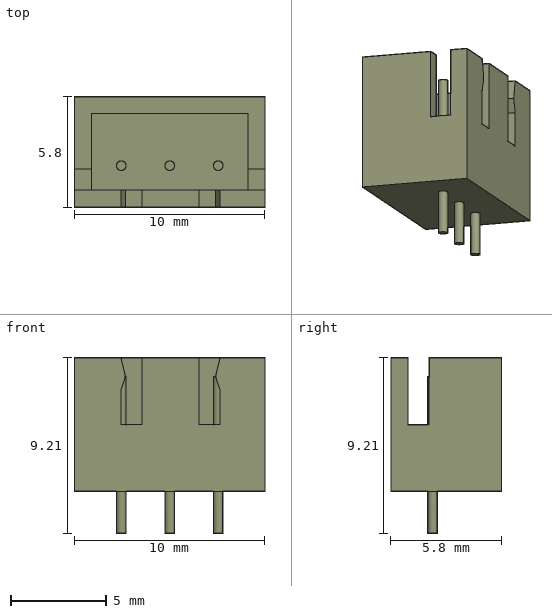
import cadquery as cq


length = 10.0
width = 5.8
height = 7.01
wall = 0.9
floor = 1.04

slot_width = 1.1
slot_depth = 3.52
left_slot_center = -2.01
right_slot_center = 2.09

bump_reach = 0.24
bump_tip_depth = 1.0
bump_end_depth = 1.72

pin_count = 3
pin_pitch = 2.54
pin_diameter = 0.5
pin_from_front = 2.18
pin_tail = 2.2
pin_tip_depth = 1.0

front = -width / 2
slot_bottom = height - slot_depth


def box(x_min, y_min, z_min, x_size, y_size, z_size):
    """Box placed by its lowest corner."""
    return cq.Workplane("XY").box(x_size, y_size, z_size, centered=False).translate((x_min, y_min, z_min))


def make_shell():
    """Open-topped rectangular housing."""
    outer = box(-length / 2, front, 0, length, width, height)
    pocket = box(
        -length / 2 + wall,
        front + wall,
        floor,
        length - 2 * wall,
        width - 2 * wall,
        height - floor,
    )
    return outer.cut(pocket)


def make_end_slots():
    """One cutter through both end walls, just behind the front wall."""
    return box(-length / 2, front + wall, slot_bottom, length, slot_width, slot_depth)


def make_front_slot(center, outward):
    """Cutter through the front wall; outward is -1 or +1, the side that carries the latch bump."""
    inner = center - outward * slot_width / 2
    outer = center + outward * slot_width / 2
    return (
        cq.Workplane("XZ", origin=(0, front + wall, 0))
        .moveTo(inner, height)
        .lineTo(inner, slot_bottom)
        .lineTo(outer, slot_bottom)
        .lineTo(outer, height - bump_end_depth)
        .lineTo(outer - outward * bump_reach, height - bump_tip_depth)
        .lineTo(outer, height)
        .close()
        .extrude(wall)
    )


def make_pin(x):
    """Round pin running from below the housing up into the pocket."""
    return (
        cq.Workplane("XY", origin=(x, front + pin_from_front, -pin_tail))
        .circle(pin_diameter / 2)
        .extrude(pin_tail + height - pin_tip_depth)
    )


result = make_shell().cut(make_end_slots())
result = result.cut(make_front_slot(left_slot_center, -1))
result = result.cut(make_front_slot(right_slot_center, 1))
for index in range(pin_count):
    pin_x = (index - (pin_count - 1) / 2) * pin_pitch
    result = result.union(make_pin(pin_x))